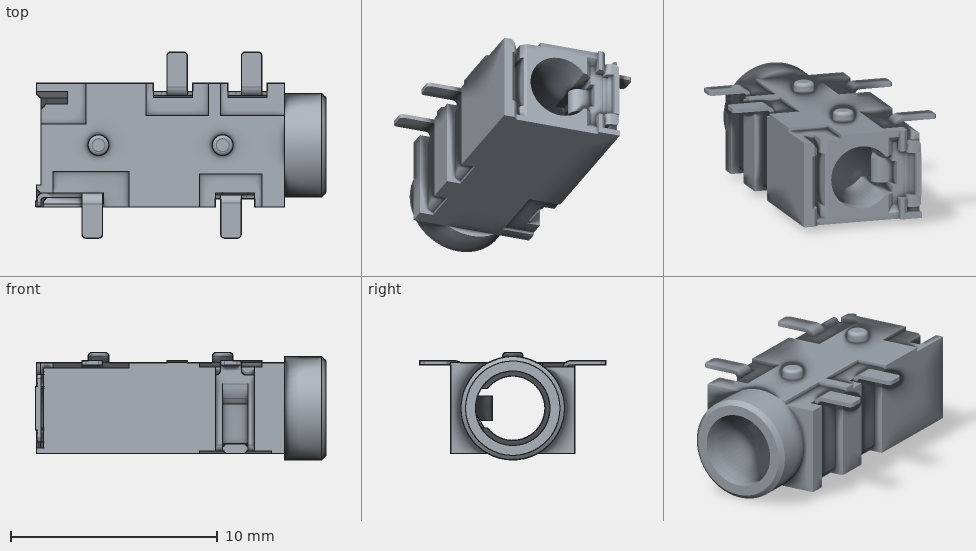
import cadquery as cq


body_length = 12.0
body_width = 6.0
body_height = 4.4
half_width = body_width / 2
top_z = body_height / 2
front_face_x = 0.22
inset_far_y = 2.27
inset_near_y = -1.92
entry_chamfer = 0.2

sleeve_diameter = 5.0
sleeve_length = 2.0
sleeve_chamfer = 0.22

guide_radius = 1.55
plug_radius = 1.8
plug_bore_start = 4.0

peg_diameter = 1.0
peg_height = 0.5
peg_round = 0.19
peg_centres_x = (3.0, 9.0)

relief_depth = 0.2
end_relief_depth = 0.25
end_relief_x = (0.81, 4.47)
top_reliefs = (
    (0.0, 2.39, 1.02, 1, relief_depth),
    (5.3, 8.32, 1.44, 1, relief_depth),
    (8.9, body_length, 1.44, 1, relief_depth),
    (*end_relief_x, 1.27, -1, end_relief_depth),
    (7.89, 10.9, 1.4, -1, relief_depth),
)
bottom_relief_x = (7.89, 11.35)
bottom_relief_depth = 0.13
bottom_relief_y = 1.4

sheet = 0.2
plate_inner_y = 2.4
plate_outer_y = plate_inner_y + sheet
lead_width = 1.0
lead_tip_y = 4.5
lead_top_z = 2.3
lead_bend_radius = 0.4
lead_corner = 0.2
shoulder_z = 1.6
shoulder_round = 0.25
foot_bend_z = -1.78
foot_bottom_z = bottom_relief_depth - top_z
notch_width = 1.9
notch_floor_y = 2.31
lead_offset = 0.2
side_contacts = ((6.6, 1), (10.2, 1), (9.6, -1))

window_x = (9.0, 10.22)
window_z = (-1.7, 1.18)
housing_window_bottom = 0.2
spring_sag = (-2.56, 0.81)
spring_knee = (-2.42, 0.47)
spring_toe = (-1.82, -0.55)
spring_tip = (-1.58, -0.94)
tongue_top_z = -1.72
tongue_bottom_z = -2.18
tongue_corner = 0.15
tongue_face_y = -2.4

far_slot_y = (2.0, inset_far_y)
far_slot_wide_y = (1.84, 2.57)
far_slot_wide_z = 1.31
far_slot_depth_x = 1.5
far_slot_bevel = 0.26
far_slot_wide_bevel_x = 0.5
slot_bottom_z = -1.92
far_slot_lip = (0.33, 0.4)

near_pocket_y = -1.37
near_pocket_z = 1.87
near_pocket_floor_x = 0.53
near_gap_z = 1.19
bore_slot_z = 0.95
bore_slot_y = -1.68
slot_mouth_y = -1.0

end_slot_y = (-2.54, -2.31)
end_slot_length = 3.24
end_slot_lip = (0.31, 0.35)
end_wall_x = 0.35
end_lead_x = 2.7
end_lead_bend_radius = 0.54
end_flange_bend = (0.3, 0.12)
end_opening_y = -2.71
end_opening_x = 0.5
end_flange_x = 0.03
end_flange_y = -2.97
end_flange_z = 1.63
end_tab_z = 1.06
end_tab_x = (-0.05, 0.17)
end_spring_z = 0.6
end_spring_y = (-1.9, -0.98)
end_spring_start_x = 1.2
end_spring_radius = 0.5


def block(x, y, z):
    """Box between the two limits given for each axis, in either order."""
    x0, y0, z0 = min(x), min(y), min(z)
    size = (max(x) - x0, max(y) - y0, max(z) - z0)
    return cq.Workplane("XY").box(*size, centered=False).translate((x0, y0, z0))


def prism_x(points, x):
    """Prism along X from (y, z) points."""
    return cq.Workplane("YZ").polyline(points).close().extrude(x[1] - x[0]).translate((x[0], 0, 0))


def prism_y(points, y):
    """Prism along Y from (x, z) points."""
    return cq.Workplane("XZ").polyline(points).close().extrude(y[0] - y[1]).translate((0, y[0], 0))


def prism_z(points, z):
    """Prism along Z from (x, y) points."""
    return cq.Workplane("XY").polyline(points).close().extrude(z[1] - z[0]).translate((0, 0, z[0]))


def housing():
    full_z = (-top_z, top_z)
    outline = [
        (0, -half_width),
        (body_length, -half_width),
        (body_length, half_width),
        (0, half_width),
        (0, inset_far_y + entry_chamfer),
        (front_face_x, inset_far_y),
        (front_face_x, inset_near_y),
        (0, inset_near_y),
    ]
    shell = prism_z(outline, full_z)
    sleeve = (
        cq.Workplane("YZ", origin=(body_length, 0, 0))
        .circle(sleeve_diameter / 2)
        .extrude(sleeve_length)
        .faces(">X")
        .chamfer(sleeve_chamfer)
    )
    shell = shell.union(sleeve)
    for x in peg_centres_x:
        peg = (
            cq.Workplane("XY", origin=(x, 0, top_z))
            .circle(peg_diameter / 2)
            .extrude(peg_height)
            .faces(">Z")
            .edges()
            .fillet(peg_round)
        )
        shell = shell.union(peg)
    return shell


def bore():
    guide = cq.Workplane("YZ").circle(guide_radius).extrude(plug_bore_start)
    plug = (
        cq.Workplane("YZ", origin=(plug_bore_start, 0, 0))
        .circle(plug_radius)
        .extrude(body_length + sleeve_length - plug_bore_start)
    )
    slot_x = (front_face_x, plug_bore_start)
    side_slot = block(slot_x, (bore_slot_y, slot_mouth_y), (-bore_slot_z, bore_slot_z))
    spring_slot = block(slot_x, (end_spring_y[0], slot_mouth_y), (-end_spring_z, end_spring_z))
    return guide.union(plug).union(side_slot).union(spring_slot)


def reliefs():
    cutter = block(
        bottom_relief_x, (-half_width, -bottom_relief_y), (-top_z, bottom_relief_depth - top_z)
    )
    for x_start, x_end, inner_y, side, depth in top_reliefs:
        pocket = block((x_start, x_end), (side * inner_y, side * half_width), (top_z - depth, top_z))
        cutter = cutter.union(pocket)
    return cutter


def notch(centre_x, side):
    x = (centre_x - notch_width / 2, centre_x + notch_width / 2)
    return block(x, (side * notch_floor_y, side * half_width), (-top_z, top_z))


def far_slot():
    """+Y slot of the -X end: narrow slot, wider middle, entry bevels and sloped top lip."""
    inner_y, outer_y = far_slot_y
    x = (0, far_slot_depth_x)
    z = (slot_bottom_z, top_z)
    bevel_end_x = front_face_x + far_slot_bevel
    slot = block(x, far_slot_y, z)
    side_bevel = prism_z(
        [(front_face_x, inner_y - far_slot_bevel), (bevel_end_x, inner_y), (front_face_x, inner_y)], z
    )
    bottom_bevel = prism_y(
        [
            (bevel_end_x, slot_bottom_z),
            (far_slot_depth_x, slot_bottom_z),
            (far_slot_depth_x, slot_bottom_z + far_slot_bevel),
        ],
        far_slot_y,
    )
    wide_inner_y, wide_outer_y = far_slot_wide_y
    middle = prism_z(
        [
            (0, wide_inner_y),
            (far_slot_depth_x, wide_inner_y),
            (far_slot_depth_x, outer_y),
            (far_slot_wide_bevel_x, outer_y),
            (0, wide_outer_y),
        ],
        (-far_slot_wide_z, far_slot_wide_z),
    )
    lip_width, lip_drop = far_slot_lip
    lip_top = top_z - relief_depth
    lip = prism_x(
        [(outer_y, lip_top - lip_drop), (outer_y + lip_width, lip_top), (outer_y, lip_top)], x
    )
    return slot.cut(bottom_bevel).union(side_bevel).union(middle).union(lip)


def near_pocket():
    """-Y pocket of the -X end, bevelled on three sides, and the gap between the two bars."""
    bevel = near_pocket_floor_x - front_face_x
    floor_z = near_pocket_z - bevel
    plan = prism_z(
        [
            (front_face_x, near_pocket_y),
            (near_pocket_floor_x, near_pocket_y - bevel),
            (near_pocket_floor_x, inset_near_y),
            (front_face_x, inset_near_y),
        ],
        (-near_pocket_z, near_pocket_z),
    )
    side_profile = prism_y(
        [
            (front_face_x, -near_pocket_z),
            (near_pocket_floor_x, -floor_z),
            (near_pocket_floor_x, floor_z),
            (front_face_x, near_pocket_z),
        ],
        (inset_near_y, near_pocket_y),
    )
    gap = block((0, near_pocket_floor_x), (inset_near_y, end_slot_y[1]), (-near_gap_z, near_gap_z))
    return plan.intersect(side_profile).union(gap)


def end_slot():
    """-Y slot that holds the end contact, open at the top and at the -X end."""
    outer_y, inner_y = end_slot_y
    relief_floor_z = top_z - end_relief_depth
    z = (slot_bottom_z, top_z)
    slot = block((0, end_slot_length), end_slot_y, z)
    mouth = block((0, end_wall_x), (-half_width, inner_y), z)
    wall_top = block((0, end_relief_x[0]), (-half_width, inner_y), (relief_floor_z, top_z))
    wall_bevel = prism_z(
        [(end_wall_x, end_opening_y), (end_opening_x, outer_y), (end_wall_x, outer_y)], z
    )
    bar_bevel = prism_z([(0, inner_y), (entry_chamfer, inner_y), (0, inner_y + entry_chamfer)], z)
    lip_width, lip_drop = end_slot_lip
    lip = prism_x(
        [
            (outer_y, relief_floor_z - lip_drop),
            (outer_y - lip_width, relief_floor_z),
            (outer_y, relief_floor_z),
        ],
        (0, end_slot_length),
    )
    return slot.union(mouth).union(wall_top).union(wall_bevel).union(bar_bevel).union(lip)


def lead(centre_x, side, inner_y, root_z, outer):
    """Solder lead: rises from root_z against inner_y, then bends by the outer radius to the tip."""
    inner = outer - sheet
    bend_y = inner_y + outer
    bend_z = lead_top_z - outer
    diagonal = 0.5 ** 0.5
    profile = (
        cq.Workplane("YZ")
        .moveTo(inner_y, root_z)
        .lineTo(inner_y, bend_z)
        .threePointArc((bend_y - outer * diagonal, bend_z + outer * diagonal), (bend_y, lead_top_z))
        .lineTo(lead_tip_y, lead_top_z)
        .lineTo(lead_tip_y, lead_top_z - sheet)
        .lineTo(bend_y, lead_top_z - sheet)
        .threePointArc(
            (bend_y - inner * diagonal, bend_z + inner * diagonal), (inner_y + sheet, bend_z)
        )
        .lineTo(inner_y + sheet, root_z)
        .close()
        .extrude(lead_width / 2, both=True)
        .faces(">Y")
        .edges("|Z")
        .fillet(lead_corner)
    )
    if side < 0:
        profile = profile.mirror("XZ")
    return profile.translate((centre_x, 0, 0))


def side_contact(centre_x, side):
    """Plate across a side notch, with a rounded foot and an off-centre lead."""
    foot_radius = foot_bend_z - foot_bottom_z
    plate = (
        cq.Workplane("YZ")
        .moveTo(plate_inner_y, shoulder_z)
        .lineTo(plate_outer_y, shoulder_z)
        .lineTo(plate_outer_y, foot_bend_z)
        .radiusArc((plate_outer_y - foot_radius, foot_bottom_z), foot_radius)
        .lineTo(plate_outer_y - foot_radius, foot_bend_z)
        .lineTo(plate_inner_y, foot_bend_z)
        .close()
        .extrude(notch_width / 2, both=True)
    )
    if side < 0:
        plate = plate.mirror("XZ")
    plate = plate.translate((centre_x, 0, 0))
    lead_x = centre_x + side * lead_offset
    plate = plate.union(lead(lead_x, side, plate_inner_y, shoulder_z, lead_bend_radius))
    plate_y = (side * plate_inner_y, side * plate_outer_y)
    for direction in (-1, 1):
        corner_x = lead_x + direction * lead_width / 2
        far_x = corner_x + direction * shoulder_round
        gusset = block((corner_x, far_x), plate_y, (shoulder_z, shoulder_z + shoulder_round))
        rounding = (
            cq.Workplane("XZ", origin=(far_x, 0, shoulder_z + shoulder_round))
            .circle(shoulder_round)
            .extrude(half_width, both=True)
        )
        notch_limits = block(
            (centre_x - notch_width / 2, centre_x + notch_width / 2), plate_y, (-top_z, top_z)
        )
        plate = plate.union(gusset.cut(rounding).intersect(notch_limits))
    return plate


def window():
    """Opening in the -Y contact plate; only its upper part continues into the bore."""
    plate_opening = block(window_x, (-half_width, -notch_floor_y), window_z)
    wall_opening = block(
        window_x, (-half_width, -plug_radius / 2), (housing_window_bottom, window_z[1])
    )
    foot_opening = block(window_x, (-half_width, -notch_floor_y), (-top_z, tongue_top_z))
    return plate_opening.union(wall_opening).union(foot_opening)


def window_spring():
    """Spring that curves down and inward from the top of the window to the bore."""
    return (
        cq.Workplane("YZ", origin=(window_x[0], 0, 0))
        .moveTo(-plate_outer_y, window_z[1])
        .threePointArc(spring_sag, spring_knee)
        .lineTo(*spring_toe)
        .lineTo(*spring_tip)
        .lineTo(spring_tip[0] + sheet, spring_tip[1])
        .lineTo(spring_toe[0] + sheet, spring_toe[1])
        .lineTo(spring_knee[0] + sheet, spring_knee[1])
        .threePointArc((spring_sag[0] + sheet, spring_sag[1]), (-plate_inner_y, window_z[1]))
        .close()
        .extrude(window_x[1] - window_x[0])
    )


def window_tongue():
    """Flat tongue with bevelled corners below the window, set back between the foot ends."""
    tongue = block(window_x, (tongue_face_y, -notch_floor_y), (tongue_bottom_z, tongue_top_z))
    return tongue.edges("|Y").chamfer(tongue_corner)


def end_contact():
    """Contact in the -Y slot: plate, turned-out front flange with a front tab, and lead."""
    inner_y = end_slot_y[1]
    outer_bend, inner_bend = end_flange_bend
    flange_z = (-end_flange_z, end_flange_z)
    flange_back = end_flange_x + sheet
    plate = block((end_flange_x, end_slot_length), end_slot_y, flange_z)
    flange = block((end_flange_x, flange_back), (end_flange_y, inner_y), flange_z)
    flange = flange.edges("|X and <Y").fillet(sheet)
    contact = plate.union(flange).edges("|Z and <X and >Y").fillet(outer_bend)
    bend_corner = cq.selectors.NearestToPointSelector((flange_back, end_slot_y[0], 0))
    contact = contact.edges("|Z").edges(bend_corner).fillet(inner_bend)
    opening = block((end_flange_x, end_opening_x), (end_opening_y, inner_y), (-end_tab_z, end_tab_z))
    tab = block(end_tab_x, (end_flange_y, end_opening_y), (-end_tab_z, end_tab_z))
    contact = contact.cut(opening).union(tab)
    return contact.union(lead(end_lead_x, -1, -inner_y, end_flange_z, end_lead_bend_radius))


def end_spring():
    """Spring bump: steps out of the bore slot, rounds over in the guide bore and slopes back."""
    root_y, crest_y = end_spring_y
    crest_x = end_spring_start_x + end_spring_radius
    return (
        cq.Workplane("XY", origin=(0, 0, -end_spring_z))
        .moveTo(end_spring_start_x, root_y)
        .lineTo(end_spring_start_x, crest_y - end_spring_radius)
        .radiusArc((crest_x, crest_y), end_spring_radius)
        .lineTo(plug_bore_start, root_y)
        .close()
        .extrude(2 * end_spring_z)
    )


result = housing().cut(bore()).cut(reliefs()).cut(far_slot()).cut(near_pocket()).cut(end_slot())
for notch_x, notch_side in side_contacts:
    result = result.cut(notch(notch_x, notch_side))
    result = result.union(side_contact(notch_x, notch_side))
result = result.cut(window()).union(window_spring()).union(window_tongue())
result = result.union(end_contact()).union(end_spring())